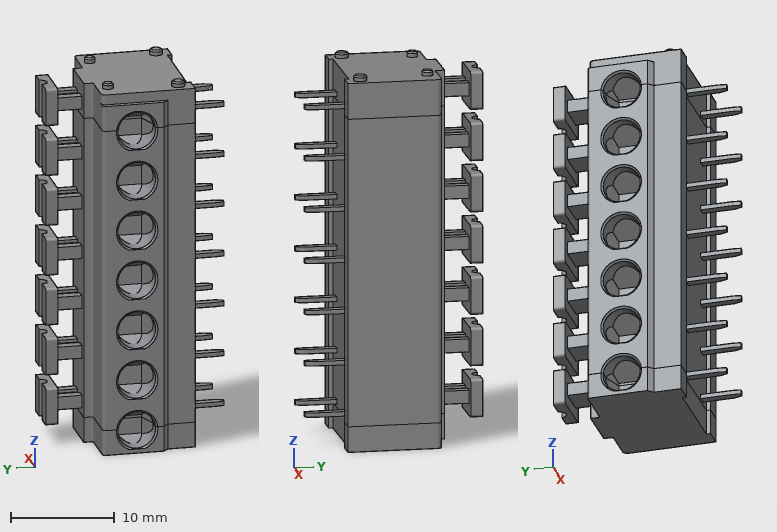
import cadquery as cq


pitch = 5.08
pole_count = 7
total_height = 37.05
peg_height = 0.52
lower_split_z = pitch / 2
upper_split_z = lower_split_z + (pole_count - 1) * pitch
housing_top_z = total_height - peg_height

housing_width = 11.97
shoulder_y = 9.23
corner_radius = 0.5
boss_width = 4.55
boss_top_y = 10.15
boss_root_radius = 0.2
foot_width = 1.9
foot_depth = 0.4

rib_depth = 0.52
rib_low_y = 2.7
rib_corner_radius = 0.3
rib_top_step = 1.0
rib_top_z = housing_top_z - rib_top_step

entry_y = 5.85
entry_drop = 0.22
entry_diameter = 3.7
entry_chamfer = 0.2
entry_flat_drop = 1.9
funnel_depth = 3.15
funnel_mouth_half = 2.25
funnel_mouth_roof = 2.65
funnel_end_half_width = 1.15
funnel_end_roof = 0.5
funnel_end_floor = 1.4

pin_spacing = 5.0
pin_offset_x = 0.05
pin_width = 0.8
pin_thickness = 0.45
pin_rise = 0.55
pin_end_y = -3.6
pin_tip_length = 0.8
pin_tip_left_inset = 0.1
pin_tip_right_inset = 0.25

lever_rise = 1.35
stem_width = 2.9
stem_height = 1.3
groove_width = 1.05
groove_depth = 0.3
head_height = 3.75
head_low_y = 12.7
head_top_y = 13.9
head_corner_radius = 0.25
notch_diameter = 1.25

peg_chamfer = 0.15
upper_peg_diameter = 1.05
upper_peg_spacing = 7.82
upper_peg_y = 8.15
lower_peg_diameter = 1.25
lower_peg_spacing = 9.6
lower_peg_y = 1.4

housing_left_x = -housing_width / 2
rib_face_x = housing_left_x - rib_depth


def centred_box(width, y_low, y_high, height, z_mid):
    """Box centred on X = 0 and z_mid, between two Y planes."""
    box = cq.Workplane("XY").box(width, y_high - y_low, height)
    return box.translate((0, (y_low + y_high) / 2, z_mid))


def housing_section(z_low, z_high):
    """Plain housing prism: rounded shoulders, lever boss and two feet."""
    half_width = housing_width / 2
    half_boss = boss_width / 2
    half_gap = half_width - foot_width
    outline = [
        (-half_width, 0),
        (-half_gap, 0),
        (-half_gap, foot_depth),
        (half_gap, foot_depth),
        (half_gap, 0),
        (half_width, 0),
        (half_width, shoulder_y),
        (half_boss, shoulder_y),
        (half_boss, boss_top_y),
        (-half_boss, boss_top_y),
        (-half_boss, shoulder_y),
        (-half_width, shoulder_y),
    ]
    body = cq.Workplane("XY").workplane(offset=z_low).polyline(outline).close()
    body = body.extrude(z_high - z_low)
    z_mid = (z_low + z_high) / 2
    for x, radius in ((half_width, corner_radius), (half_boss, boss_root_radius)):
        for side in (-1, 1):
            edge = cq.selectors.NearestToPointSelector((side * x, shoulder_y, z_mid))
            body = body.edges("|Z").edges(edge).fillet(radius)
    return body


def entry_rib(z_low, z_high):
    """Raised strip around the wire entries, bevelled at its low-Y edge."""
    root_x = housing_left_x + corner_radius
    outline = [
        (root_x, rib_low_y),
        (housing_left_x, rib_low_y),
        (rib_face_x, rib_low_y + rib_depth),
        (rib_face_x, shoulder_y),
        (root_x, shoulder_y),
    ]
    rib = cq.Workplane("XY").workplane(offset=z_low).polyline(outline).close()
    rib = rib.extrude(z_high - z_low)
    outer_corner = cq.selectors.NearestToPointSelector((rib_face_x, shoulder_y, (z_low + z_high) / 2))
    return rib.edges("|Z").edges(outer_corner).fillet(rib_corner_radius)


def wire_entry(pole_z):
    """Round hole narrowed to a rectangle by a funnel; its chamfer has a flat bottom."""
    radius = entry_diameter / 2
    axis_z = pole_z - entry_drop
    mouth = cq.Workplane("YZ", origin=(rib_face_x, entry_y, axis_z))
    bore = mouth.circle(radius).extrude(funnel_depth)
    mouth_mid = (funnel_mouth_roof - funnel_mouth_half) / 2
    end_mid = (funnel_end_roof - funnel_end_floor) / 2
    funnel = (
        mouth.center(0, mouth_mid)
        .rect(2 * funnel_mouth_half, funnel_mouth_roof + funnel_mouth_half)
        .workplane(offset=funnel_depth)
        .center(0, end_mid - mouth_mid)
        .rect(2 * funnel_end_half_width, funnel_end_roof + funnel_end_floor)
        .loft(ruled=True)
    )
    chamfer = (
        mouth.circle(radius + entry_chamfer)
        .workplane(offset=entry_chamfer)
        .circle(radius)
        .loft()
    )
    flat_z = axis_z - entry_flat_drop
    above_flat = centred_box(2 * housing_width, 0, shoulder_y, pitch, flat_z + pitch / 2)
    return bore.intersect(funnel).union(chamfer.intersect(above_flat))


def solder_pin(x, pole_z):
    """Flat pin below the housing with an uneven tapered tip."""
    left = x - pin_width / 2
    right = x + pin_width / 2
    taper_y = pin_end_y + pin_tip_length
    outline = [
        (left, foot_depth),
        (left, taper_y),
        (left + pin_tip_left_inset, pin_end_y),
        (right - pin_tip_right_inset, pin_end_y),
        (right, taper_y),
        (right, foot_depth),
    ]
    pin = cq.Workplane("XY").polyline(outline).close().extrude(pin_thickness)
    return pin.translate((0, 0, pole_z + pin_rise - pin_thickness / 2))


def release_lever(pole_z):
    """Grooved stem with a round-cornered push head notched across its end."""
    axis_z = pole_z + lever_rise
    stem = centred_box(stem_width, boss_top_y, head_low_y, stem_height, axis_z)
    groove_z = axis_z + (stem_height - groove_depth) / 2
    groove = centred_box(groove_width, boss_top_y, head_low_y, groove_depth, groove_z)
    head = centred_box(boss_width, head_low_y, head_top_y, head_height, axis_z)
    head = head.edges("|Y").fillet(head_corner_radius)
    notch = cq.Workplane("XY").circle(notch_diameter / 2).extrude(head_height)
    notch = notch.translate((0, head_top_y, axis_z - head_height / 2))
    return stem.cut(groove).union(head.cut(notch))


def locating_pegs():
    """Two pairs of chamfered pegs on top of the end section."""
    pegs = cq.Workplane("XY")
    for diameter, spacing, y in (
        (upper_peg_diameter, upper_peg_spacing, upper_peg_y),
        (lower_peg_diameter, lower_peg_spacing, lower_peg_y),
    ):
        for side in (-1, 1):
            base = cq.Workplane("XY", origin=(side * spacing / 2, y, housing_top_z))
            peg = base.circle(diameter / 2).extrude(peg_height)
            pegs = pegs.add(peg.faces(">Z").chamfer(peg_chamfer))
    return pegs.combine()


def block_section(z_low, z_high, rib_high):
    """One moulding between two Z planes, with the pins and levers rooted in it."""
    body = housing_section(z_low, z_high).union(entry_rib(z_low, rib_high))
    for pole in range(pole_count):
        pole_z = lower_split_z + pole * pitch
        body = body.cut(wire_entry(pole_z))
        if z_low <= pole_z < z_high:
            for side in (-1, 1):
                body = body.union(solder_pin(pin_offset_x + side * pin_spacing / 2, pole_z))
            body = body.union(release_lever(pole_z))
    return body


base_section = block_section(0, lower_split_z, lower_split_z)
middle_section = block_section(lower_split_z, upper_split_z, upper_split_z)
end_section = block_section(upper_split_z, housing_top_z, rib_top_z).union(locating_pegs())

sections = (base_section, middle_section, end_section)
result = cq.Compound.makeCompound([section.solids().val() for section in sections])